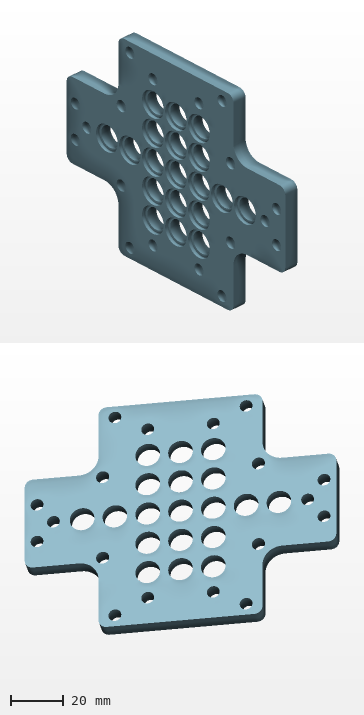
import cadquery as cq

plate_length = 120.6
pitch = plate_length / 9.5
plate_height = 7.5 * pitch
thickness = pitch / 2
arm_height = 3 * pitch
body_width = 5 * pitch

outer_corner_radius = pitch / 4
inner_corner_radius = 7.6

bore_diameter = 9.5
recess_diameter = 12.0
recess_depth = 1.6
mount_hole_diameter = 5.0
inner_corner_hole_diameter = 5.1

edge_margin = 3 * pitch / 8
inset_margin = 7 * pitch / 8
arm_hole_margin = 7 * pitch / 8
inner_corner_margin = pitch / 8


def mirrored(x, z):
    """Four positions symmetric about both centre lines."""
    return [(sx * x, sz * z) for sx in (-1, 1) for sz in (-1, 1)]


bore_positions = [(column * pitch, row * pitch) for column in range(-1, 2) for row in range(-2, 3)]
bore_positions += [(column * pitch, 0) for column in (-3, -2, 2, 3)]

body_corner_holes = mirrored(2 * pitch, plate_height / 2 - edge_margin)
body_end_holes = mirrored(pitch, plate_height / 2 - inset_margin)
arm_corner_holes = mirrored(plate_length / 2 - edge_margin, arm_height / 2 - arm_hole_margin)
arm_end_holes = [(side * (plate_length / 2 - inset_margin), 0) for side in (-1, 1)]
mount_holes = body_corner_holes + body_end_holes + arm_corner_holes + arm_end_holes

inner_corner_holes = mirrored(body_width / 2 - inner_corner_margin, arm_height / 2 - inner_corner_margin)


def make_cross_plate():
    """Rounded cross in the XZ plane, centred on the origin."""
    arm = cq.Workplane("XY").box(plate_length, thickness, arm_height)
    body = cq.Workplane("XY").box(body_width, thickness, plate_height)
    cross = arm.union(body)

    reach = cq.Vector(body_width / 2 + pitch / 2, thickness, arm_height / 2 + pitch / 2)
    near_crossing = cq.selectors.BoxSelector((-reach).toTuple(), reach.toTuple())
    cross = cross.edges("|Y").edges(near_crossing).fillet(inner_corner_radius)

    cross = cross.faces("<X or >X").edges("|Y").fillet(outer_corner_radius)
    return cross.faces("<Z or >Z").edges("|Y").fillet(outer_corner_radius)


def make_cylinders(positions, diameter, depth):
    """Cylinders reaching from the front (-Y) face to the given depth."""
    front = cq.Workplane("XZ", origin=(0, -thickness / 2, 0))
    return front.pushPoints(positions).circle(diameter / 2).extrude(-depth)


result = make_cross_plate()
result = result.cut(make_cylinders(bore_positions, bore_diameter, thickness))
result = result.cut(make_cylinders(bore_positions, recess_diameter, recess_depth))
result = result.cut(make_cylinders(mount_holes, mount_hole_diameter, thickness))
result = result.cut(make_cylinders(inner_corner_holes, inner_corner_hole_diameter, thickness))